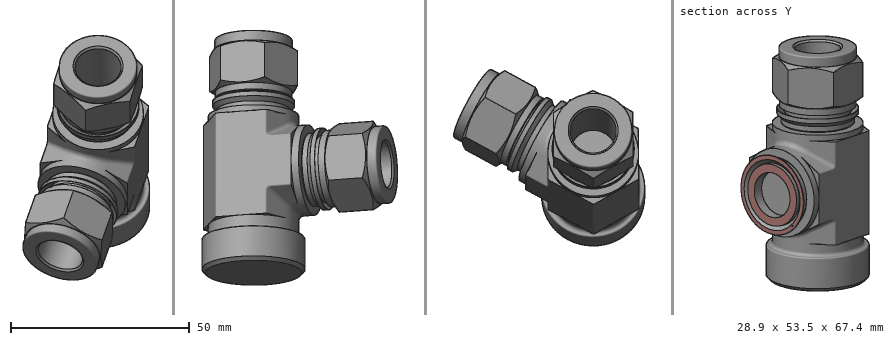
import cadquery as cq
import math

BODY_FLATS = 25.4
RUN_HALF_LENGTH = 15.0
BRANCH_HEX_END = 14.55
BODY_END = 16.7
CROTCH_FILLET = 1.35
SIDE_EDGE_FILLET = 0.5

PORT_DIAMETER = 28.9
PORT_TOP = -18.7
PORT_BOTTOM = -28.5
PORT_CHAMFER = 1.0
PORT_TOP_FILLET = 0.4
COVE_RADIUS = 1.0

SHOULDER_DIAMETER = 20.6
SHOULDER_CHAMFER = 0.35
SHOULDER_END = 18.55
FLANGE_DIAMETER = 23.0
FLANGE_END = 21.0
STEM_DIAMETER = 18.0
STEM_END = 20.2
GROOVE_DIAMETER = 18.9
GROOVE_END = 21.85
DISH_RIM = 0.15
SKIRT_DIAMETER = 21.5
NUT_START = 23.7
NUT_END = 36.0
NUT_FLATS = 22.25
NUT_CHAMFER_ANGLE = 30
NUT_CHAMFER_MARGIN = 0.7
COLLAR_DIAMETER = 21.8
COLLAR_FILLET = 0.4
FITTING_END = 38.9
BORE_DIAMETER = 12.9
BORE_CHAMFER = 0.55

BODY_RADIUS = BODY_FLATS / 2
HALF_CORNER = math.radians(30)
BODY_CORNER = BODY_RADIUS / math.cos(HALF_CORNER)
PORT_RADIUS = PORT_DIAMETER / 2
BORE_DEPTH = FITTING_END - BODY_END
TOLERANCE = 0.001


def disc(start, end, diameter):
    """Solid cylinder on the Z axis between two heights."""
    return cq.Workplane("XY").workplane(offset=start).circle(diameter / 2).extrude(end - start)


def revolve_about_z(points):
    """Solid of revolution about Z from (radius, height) points."""
    return cq.Workplane("XZ").polyline(points).close().revolve(360, (0, 0), (0, 1))


def to_branch(shape):
    """Turn a shape built along +Z to point along -Y."""
    return shape.rotate((0, 0, 0), (1, 0, 0), 90)


def body_outline(plane, offset, both_ends_round):
    """Hexagon with flats facing +-X; its lower or both end corners follow the inscribed circle."""
    flat_half = BODY_CORNER / 2
    tangent_x = BODY_RADIUS * math.sin(HALF_CORNER)
    tangent_y = BODY_RADIUS * math.cos(HALF_CORNER)
    outline = (
        cq.Workplane(plane)
        .workplane(offset=offset)
        .moveTo(-BODY_RADIUS, flat_half)
        .lineTo(-BODY_RADIUS, -flat_half)
        .lineTo(-tangent_x, -tangent_y)
        .threePointArc((0, -BODY_RADIUS), (tangent_x, -tangent_y))
        .lineTo(BODY_RADIUS, -flat_half)
        .lineTo(BODY_RADIUS, flat_half)
    )
    if both_ends_round:
        outline = outline.lineTo(tangent_x, tangent_y)
        outline = outline.threePointArc((0, BODY_RADIUS), (-tangent_x, tangent_y))
    else:
        outline = outline.lineTo(0, BODY_CORNER)
    return outline.close()


def matches(value, target):
    return abs(value - target) < TOLERANCE


def is_crotch_edge(edge):
    """True for the mitre edges where the branch meets the run."""
    ends = [edge.startPoint(), edge.endPoint()]
    return all(p.y < 0 and matches(abs(p.z), -p.y) for p in ends)


def is_side_edge(edge):
    """True for the back ridge and for the long straight edges bounding the two side flats."""
    ends = [edge.startPoint(), edge.endPoint()]
    on_flat = all(matches(abs(p.x), BODY_RADIUS) for p in ends)
    on_ridge = all(matches(p.y, BODY_CORNER) for p in ends)
    same_height = matches(ends[0].z, ends[1].z)
    at_run_end = same_height and matches(abs(ends[0].z), RUN_HALF_LENGTH)
    at_branch_end = all(matches(p.y, -BRANCH_HEX_END) for p in ends)
    return on_ridge or (on_flat and not at_run_end and not at_branch_end)


def tee_body():
    """Run and branch joined with filleted crotches, then extended by short round collars."""
    run = body_outline("XY", -RUN_HALF_LENGTH, False).extrude(2 * RUN_HALF_LENGTH)
    branch = body_outline("XZ", 0, True).extrude(BRANCH_HEX_END)
    body = run.union(branch)
    crotch_edges = [edge for edge in body.edges().vals() if is_crotch_edge(edge)]
    body = body.newObject(crotch_edges).fillet(CROTCH_FILLET)
    side_edges = [edge for edge in body.edges().vals() if is_side_edge(edge)]
    body = body.newObject(side_edges).fillet(SIDE_EDGE_FILLET)
    run_end = disc(RUN_HALF_LENGTH, BODY_END, BODY_FLATS)
    branch_end = to_branch(disc(BRANCH_HEX_END, BODY_END, BODY_FLATS))
    return body.union(run_end).union(branch_end)


def lower_port():
    """Round port below the run: a cove, a rounded upper rim and a chamfered lower rim."""
    cove_top = PORT_TOP + COVE_RADIUS
    cove_offset = COVE_RADIUS * (1 - math.sqrt(0.5))
    round_offset = PORT_TOP_FILLET * (1 - math.sqrt(0.5))
    return (
        cq.Workplane("XZ")
        .moveTo(0, -RUN_HALF_LENGTH)
        .lineTo(BODY_RADIUS, -RUN_HALF_LENGTH)
        .lineTo(BODY_RADIUS, cove_top)
        .threePointArc(
            (BODY_RADIUS + cove_offset, PORT_TOP + cove_offset),
            (BODY_RADIUS + COVE_RADIUS, PORT_TOP),
        )
        .lineTo(PORT_RADIUS - PORT_TOP_FILLET, PORT_TOP)
        .threePointArc(
            (PORT_RADIUS - round_offset, PORT_TOP - round_offset),
            (PORT_RADIUS, PORT_TOP - PORT_TOP_FILLET),
        )
        .lineTo(PORT_RADIUS, PORT_BOTTOM + PORT_CHAMFER)
        .lineTo(PORT_RADIUS - PORT_CHAMFER, PORT_BOTTOM)
        .lineTo(0, PORT_BOTTOM)
        .close()
        .revolve(360, (0, 0), (0, 1))
    )


def hex_nut():
    """Hexagon with corners on +-Y, both ends chamfered by cones that start inside the flats."""
    nut_corner = NUT_FLATS / math.cos(HALF_CORNER)
    face_radius = SKIRT_DIAMETER / 2
    cone_radius = nut_corner / 2 + NUT_CHAMFER_MARGIN
    cone_height = (cone_radius - face_radius) * math.tan(math.radians(NUT_CHAMFER_ANGLE))
    envelope = revolve_about_z([
        (0, NUT_START),
        (face_radius, NUT_START),
        (cone_radius, NUT_START + cone_height),
        (cone_radius, NUT_END - cone_height),
        (face_radius, NUT_END),
        (0, NUT_END),
    ])
    hexagon = (
        cq.Workplane("XY")
        .workplane(offset=NUT_START)
        .polygon(6, nut_corner)
        .extrude(NUT_END - NUT_START)
        .rotate((0, 0, 0), (0, 0, 1), math.degrees(HALF_CORNER))
    )
    return hexagon.intersect(envelope)


def flange_dish():
    """45 degree conical recess in the flange face that faces the nut."""
    rim_radius = FLANGE_DIAMETER / 2 - DISH_RIM
    stem_radius = STEM_DIAMETER / 2
    return revolve_about_z([
        (stem_radius, FLANGE_END),
        (rim_radius, FLANGE_END),
        (stem_radius, FLANGE_END - (rim_radius - stem_radius)),
    ])


def tube_fitting():
    """Fitting along +Z, from the core of the tee body to the nut collar."""
    cone_height = (FLANGE_DIAMETER - SHOULDER_DIAMETER) / 2
    shoulder = disc(BODY_END, SHOULDER_END, SHOULDER_DIAMETER).faces("<Z").chamfer(SHOULDER_CHAMFER)
    flange = disc(SHOULDER_END, FLANGE_END, FLANGE_DIAMETER).faces("<Z").chamfer(cone_height)
    flange = flange.cut(flange_dish())
    collar = disc(NUT_END, FITTING_END, COLLAR_DIAMETER).faces(">Z").edges().fillet(COLLAR_FILLET)
    return (
        shoulder.union(flange)
        .union(disc(SHOULDER_END, STEM_END, STEM_DIAMETER))
        .union(disc(STEM_END, GROOVE_END, GROOVE_DIAMETER))
        .union(disc(GROOVE_END, NUT_START, SKIRT_DIAMETER))
        .union(hex_nut())
        .union(collar)
    )


def tube_bore():
    """Blind bore along +Z with a 45 degree chamfer at its mouth."""
    bore_radius = BORE_DIAMETER / 2
    return revolve_about_z([
        (0, FITTING_END - BORE_DEPTH),
        (bore_radius, FITTING_END - BORE_DEPTH),
        (bore_radius, FITTING_END - BORE_CHAMFER),
        (bore_radius + BORE_CHAMFER, FITTING_END),
        (0, FITTING_END),
    ])


fitting = tube_fitting()
bore = tube_bore()

result = (
    tee_body()
    .union(lower_port())
    .union(fitting)
    .union(to_branch(fitting))
    .cut(bore)
    .cut(to_branch(bore))
)